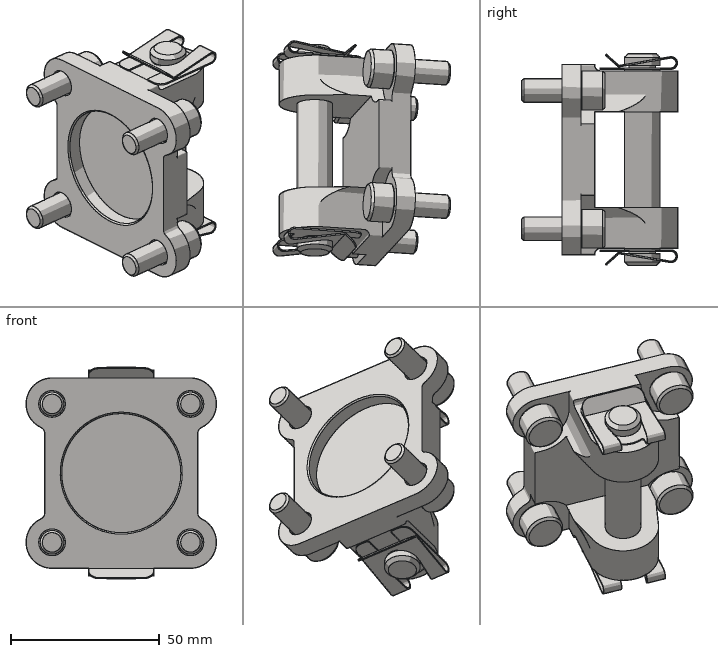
import cadquery as cq
import math


plate_size = 63.95
plate_thickness = 6.5
waist_width = 51.5
screw_pitch = 46.45
notch_radius = 2.0
bore_diameter = 40.0
bore_depth = 5.0
bore_chamfer = 0.5
screw_hole_diameter = 9.0

boss_height = 11.0
boss_edge_radius = 0.5
lug_width = 24.0
lug_inner_z = 16.0
lug_outer_z = 29.8
lug_flank_angle = 15.0
lug_root_radius = 2.0

pin_diameter = 12.0
pin_length = 71.15
pin_chamfer = 1.3
pin_y = 27.0
groove_diameter = 9.0
groove_z = 30.3
groove_width = 1.3

shank_diameter = 8.0
shank_tip_y = -13.5
shank_chamfer = 0.7
head_diameter = 13.0
head_height = 8.05
head_chamfer_height = 0.9
head_chamfer_width = 0.7
washer_face_diameter = 12.0
washer_face_height = 0.2

clip_width = 21.9
clip_thickness = 0.5
clip_end_y = 12.8
clip_corner_radius = 3.5
clip_inner_corner_radius = 0.7
loop_radius = 2.1
loop_end_y = 38.8
loop_slot_width = 9.1
upper_leaf_slope = 9.7
bend_y = 19.1
tip_angle = 42.0
tip_y = 14.7
bridge_radius = 8.9
bridge_corner_radius = 0.7

plate_half = plate_size / 2
waist_half = waist_width / 2
screw_offset = screw_pitch / 2
lobe_radius = plate_half - screw_offset
lug_radius = lug_width / 2
pocket_radius = screw_offset - lug_radius
pin_radius = pin_diameter / 2
groove_radius = groove_diameter / 2
loop_center = (loop_end_y - loop_radius, groove_z + loop_radius)
clearance = 3.55
clip_top_z = pin_length / 2 + clearance


def facing_y(y):
    """XZ work plane at the given y; extruding by a negative length goes toward +Y."""
    return cq.Workplane("XZ", origin=(0, y, 0))


def arc_point(center, radius, degrees):
    angle = math.radians(degrees)
    return (center[0] + radius * math.cos(angle), center[1] + radius * math.sin(angle))


def screw_positions():
    return [(sx * screw_offset, sz * screw_offset) for sx in (-1, 1) for sz in (-1, 1)]


def plate():
    """Plate with a round lobe at each corner, blended into straight waist sides."""
    lobe = (screw_offset, screw_offset)
    notch_x = waist_half + notch_radius
    reach = lobe_radius + notch_radius
    notch_z = screw_offset - math.sqrt(reach**2 - (notch_x - screw_offset) ** 2)
    notch = (notch_x, notch_z)
    blend_angle = math.degrees(math.atan2(notch_z - screw_offset, notch_x - screw_offset))
    notch_end_angle = blend_angle + 180

    quarter = (
        facing_y(0)
        .moveTo(0, plate_half)
        .lineTo(screw_offset, plate_half)
        .threePointArc(arc_point(lobe, lobe_radius, 0), arc_point(lobe, lobe_radius, blend_angle))
        .threePointArc(arc_point(notch, notch_radius, (notch_end_angle + 180) / 2), (waist_half, notch_z))
        .lineTo(waist_half, 0)
        .lineTo(0, 0)
        .close()
        .extrude(-plate_thickness)
    )
    half = quarter.union(quarter.mirror("YZ"))
    return half.union(half.mirror("XY"))


def boss():
    return (
        facing_y(plate_thickness)
        .rect(waist_width, plate_size)
        .extrude(plate_thickness - boss_height)
    )


def lug():
    """Upper lug: round end about the pin with straight flanks spreading toward the boss."""
    flank = math.radians(lug_flank_angle)
    tangent_x = lug_radius * math.cos(flank)
    tangent_y = pin_y + lug_radius * math.sin(flank)
    foot_x = tangent_x + (tangent_y - plate_thickness) * math.tan(flank)
    return (
        cq.Workplane("XY", origin=(0, 0, lug_inner_z))
        .moveTo(-foot_x, plate_thickness)
        .lineTo(foot_x, plate_thickness)
        .lineTo(tangent_x, tangent_y)
        .threePointArc((0, pin_y + lug_radius), (-tangent_x, tangent_y))
        .close()
        .extrude(lug_outer_z - lug_inner_z)
    )


def lug_root():
    """Concave blend between the outer face of the upper lug and the boss."""
    center = (boss_height + lug_root_radius, lug_outer_z + lug_root_radius)
    return (
        cq.Workplane("YZ", origin=(-lug_radius, 0, 0))
        .moveTo(boss_height, lug_outer_z)
        .lineTo(center[0], lug_outer_z)
        .threePointArc(arc_point(center, lug_root_radius, 225), (boss_height, center[1]))
        .close()
        .extrude(lug_width)
    )


def corner_pocket():
    """Clearance around one screw head: an arc about the screw, straight walls, rounded mouths."""
    r = boss_edge_radius
    wall = lug_radius
    screw = (screw_offset, screw_offset)
    top_round = (wall - r, plate_half - r)
    side_round = (waist_half - r, wall - r)
    outside = plate_half + clearance
    return (
        facing_y(plate_thickness)
        .moveTo(wall - r, plate_half)
        .threePointArc(arc_point(top_round, r, 45), (wall, plate_half - r))
        .lineTo(wall, screw_offset)
        .threePointArc(arc_point(screw, pocket_radius, 225), (screw_offset, wall))
        .lineTo(waist_half - r, wall)
        .threePointArc(arc_point(side_round, r, 45), (waist_half, wall - r))
        .lineTo(outside, wall - r)
        .lineTo(outside, outside)
        .lineTo(wall - r, outside)
        .close()
        .extrude(-(pin_y + lug_radius))
    )


def bore():
    """Blind round recess in the mounting face with a chamfered mouth."""
    radius = bore_diameter / 2
    recess = facing_y(0).circle(radius).extrude(-bore_depth)
    mouth = cq.Solid.makeCone(
        radius + bore_chamfer, radius, bore_chamfer, pnt=cq.Vector(0, 0, 0), dir=cq.Vector(0, 1, 0)
    )
    return recess.union(cq.Workplane(mouth))


def make_housing():
    upper = lug().union(lug_root())
    body = boss().union(upper).union(upper.mirror("XY"))
    right_pockets = corner_pocket().union(corner_pocket().mirror("XY"))
    body = body.cut(right_pockets).cut(right_pockets.mirror("YZ"))
    body = body.union(plate()).cut(bore())

    screw_holes = facing_y(0).pushPoints(screw_positions()).circle(screw_hole_diameter / 2)
    body = body.cut(screw_holes.extrude(-plate_thickness))

    pin_hole = cq.Workplane("XY", origin=(0, pin_y, 0)).circle(pin_radius)
    return body.cut(pin_hole.extrude(pin_length / 2, both=True))


def make_pin():
    """Straight chamfered pin with a clip groove near each end."""
    pin = (
        cq.Workplane("XY", origin=(0, pin_y, -pin_length / 2))
        .circle(pin_radius)
        .extrude(pin_length)
        .faces("<Z or >Z")
        .chamfer(pin_chamfer)
    )
    groove = (
        cq.Workplane("XY", origin=(0, pin_y, groove_z))
        .circle(pin_diameter)
        .circle(groove_radius)
        .extrude(groove_width)
    )
    return pin.cut(groove).cut(groove.mirror("XY"))


def make_screw(x, z):
    """Cap screw along Y, seated on the lobe by a thin washer face under its head."""
    head_top = plate_thickness + head_height
    shank_radius = shank_diameter / 2
    head_radius = head_diameter / 2
    washer_face_radius = washer_face_diameter / 2
    head_base = plate_thickness + washer_face_height
    profile = (
        cq.Workplane("XY")
        .moveTo(0, shank_tip_y)
        .lineTo(shank_radius - shank_chamfer, shank_tip_y)
        .lineTo(shank_radius, shank_tip_y + shank_chamfer)
        .lineTo(shank_radius, plate_thickness)
        .lineTo(washer_face_radius, plate_thickness)
        .lineTo(washer_face_radius, head_base)
        .lineTo(head_radius, head_base)
        .lineTo(head_radius, head_top - head_chamfer_height)
        .lineTo(head_radius - head_chamfer_width, head_top)
        .lineTo(0, head_top)
        .close()
    )
    return profile.revolve(360, (0, 0, 0), (0, 1, 0)).translate((x, 0, z))


def clip_strip():
    """Bent sheet: flat lower leaf, loop, sloping upper leaf and raised tip."""
    slope = math.radians(upper_leaf_slope)
    rise = math.radians(tip_angle)
    half_turn = (slope + rise) / 2
    half_sheet = clip_thickness / 2
    middle_radius = loop_radius - half_sheet

    leaf_start = arc_point(loop_center, middle_radius, 90 + upper_leaf_slope)
    bend = (bend_y, leaf_start[1] - (leaf_start[0] - bend_y) * math.tan(slope))
    tip = (tip_y, bend[1] + (bend_y - tip_y) * math.tan(rise))

    leaf_normal = (-math.sin(slope), math.cos(slope))
    mitre_normal = (math.sin(rise - half_turn), math.cos(rise - half_turn))
    tip_normal = (math.sin(rise), math.cos(rise))
    mitre_length = half_sheet / math.cos(half_turn)

    def shifted(point, normal, distance):
        return (point[0] + normal[0] * distance, point[1] + normal[1] * distance)

    inner_radius = loop_radius - clip_thickness
    loop_middle_angle = upper_leaf_slope / 2
    return (
        cq.Workplane("YZ", origin=(-clip_width / 2, 0, 0))
        .moveTo(clip_end_y, groove_z)
        .lineTo(loop_center[0], groove_z)
        .threePointArc(
            arc_point(loop_center, loop_radius, loop_middle_angle),
            shifted(leaf_start, leaf_normal, half_sheet),
        )
        .lineTo(*shifted(bend, mitre_normal, mitre_length))
        .lineTo(*shifted(tip, tip_normal, half_sheet))
        .lineTo(*shifted(tip, tip_normal, -half_sheet))
        .lineTo(*shifted(bend, mitre_normal, -mitre_length))
        .lineTo(*shifted(leaf_start, leaf_normal, -half_sheet))
        .threePointArc(
            arc_point(loop_center, inner_radius, loop_middle_angle),
            (loop_center[0], groove_z + clip_thickness),
        )
        .lineTo(clip_end_y, groove_z + clip_thickness)
        .close()
        .extrude(clip_width)
    )


def lower_leaf_slot():
    """Open-ended slot that slides the lower leaf around the pin groove."""
    return (
        cq.Workplane("XY", origin=(0, 0, groove_z))
        .moveTo(-groove_radius, clip_end_y)
        .lineTo(groove_radius, clip_end_y)
        .lineTo(groove_radius, pin_y)
        .threePointArc((0, pin_y + groove_radius), (-groove_radius, pin_y))
        .close()
        .extrude(clip_thickness)
    )


def loop_slot():
    """Opening in the lower half of the loop, leaving a bridge concentric with the pin."""
    length = loop_end_y + clearance - pin_y
    bridge = cq.Workplane("XY", origin=(0, pin_y, groove_z)).circle(bridge_radius).extrude(loop_radius)
    return (
        cq.Workplane("XY", origin=(0, pin_y + length / 2, groove_z))
        .rect(loop_slot_width, length)
        .extrude(loop_radius)
        .cut(bridge)
        .edges("|Z and <Y")
        .fillet(bridge_corner_radius)
    )


def upper_leaf_slot():
    """Keyhole in the upper leaf: a pin-size hole narrowing toward the loop end."""
    throat_end_x = loop_slot_width / 2
    throat_length = loop_end_y - pin_y
    end_distance = math.hypot(throat_end_x, throat_length)
    end_angle = math.degrees(math.atan2(throat_length, throat_end_x))
    tangent_angle = end_angle - math.degrees(math.acos(pin_radius / end_distance))
    tangent_x, tangent_y = arc_point((0, pin_y), pin_radius, tangent_angle)

    hole_z = groove_z + clip_thickness
    throat_z = loop_center[1]
    hole = cq.Workplane("XY", origin=(0, pin_y, hole_z)).circle(pin_radius).extrude(clip_top_z - hole_z)
    throat = (
        cq.Workplane("XY", origin=(0, 0, throat_z))
        .moveTo(tangent_x, tangent_y)
        .lineTo(throat_end_x, loop_end_y)
        .lineTo(-throat_end_x, loop_end_y)
        .lineTo(-tangent_x, tangent_y)
        .close()
        .extrude(clip_top_z - throat_z)
    )
    return hole.union(throat)


def make_upper_clip():
    """Upper spring clip with its slots cut and the corners of both free ends rounded."""
    clip = clip_strip().cut(lower_leaf_slot()).cut(loop_slot()).cut(upper_leaf_slot())

    rise = math.radians(tip_angle)
    through_tip = cq.selectors.ParallelDirSelector(cq.Vector(0, math.sin(rise), math.cos(rise)))
    clip = clip.edges(through_tip).fillet(clip_corner_radius)

    lower_end = "|Z and <Y"
    clip = clip.edges(lower_end).edges("(not <X) and (not >X)").fillet(clip_inner_corner_radius)
    return clip.edges(lower_end).edges("<X or >X").fillet(clip_corner_radius)


housing = make_housing()
pin = make_pin()
screws = [make_screw(x, z) for x, z in screw_positions()]
upper_clip = make_upper_clip()
clips = [upper_clip, upper_clip.mirror("XY")]

result = cq.Compound.makeCompound(
    [housing.val(), pin.val(), *[screw.val() for screw in screws], *[clip.val() for clip in clips]]
)